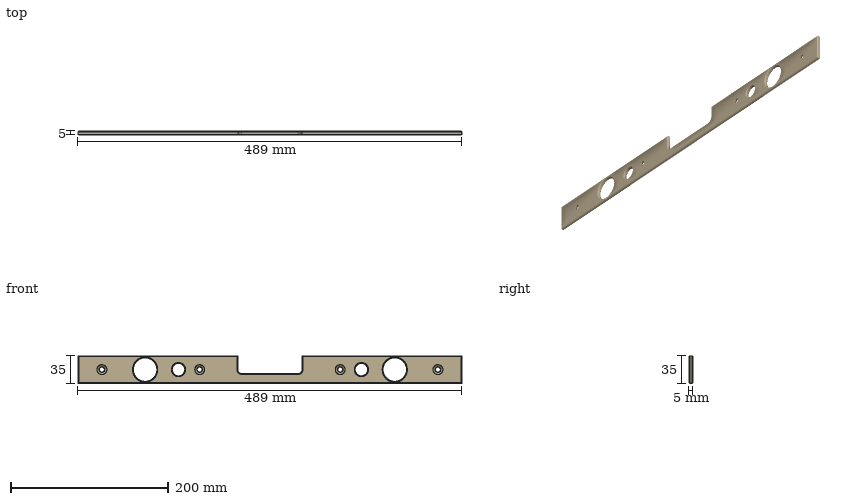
import cadquery as cq

LENGTH = 489.0
THICKNESS = 5.0
HEIGHT = 35.0

NOTCH_WIDTH = 82.0
NOTCH_CORNER_RADIUS = 5.0
WEB_HEIGHT = 12.5

EDGE_CHAMFER = 1.0

LARGE_HOLE_DIAMETER = 30.0
LARGE_HOLE_OFFSET = 159.0
MEDIUM_HOLE_DIAMETER = 16.0
MEDIUM_HOLE_OFFSET = 116.5

SCREW_HOLE_DIAMETER = 6.4
COUNTERSINK_DIAMETER = 12.6
COUNTERSINK_ANGLE = 90.0
INNER_SCREW_OFFSET = 89.5
SCREW_PITCH = 124.5
OUTER_SCREW_OFFSET = INNER_SCREW_OFFSET + SCREW_PITCH


def mirrored(*offsets):
    """Points on the mid-height line at plus and minus each offset."""
    return [(side * offset, 0) for offset in offsets for side in (-1, 1)]


def notched_bar():
    bar = cq.Workplane("XY").box(LENGTH, THICKNESS, HEIGHT)
    notch_depth = HEIGHT - WEB_HEIGHT
    notch = (
        cq.Workplane("XY")
        .box(NOTCH_WIDTH, THICKNESS, notch_depth)
        .edges("|Y and <Z")
        .fillet(NOTCH_CORNER_RADIUS)
        .translate((0, 0, (HEIGHT - notch_depth) / 2))
    )
    return bar.cut(notch)


def front_face(bar):
    return bar.faces("<Y").workplane(origin=(0, -THICKNESS / 2, 0))


def drill_plain_holes(bar):
    bar = front_face(bar).pushPoints(mirrored(LARGE_HOLE_OFFSET)).hole(LARGE_HOLE_DIAMETER)
    return front_face(bar).pushPoints(mirrored(MEDIUM_HOLE_OFFSET)).hole(MEDIUM_HOLE_DIAMETER)


def drill_screw_holes(bar):
    return (
        front_face(bar)
        .pushPoints(mirrored(INNER_SCREW_OFFSET, OUTER_SCREW_OFFSET))
        .cskHole(SCREW_HOLE_DIAMETER, COUNTERSINK_DIAMETER, COUNTERSINK_ANGLE)
    )


def chamfer_front_and_back(bar):
    return bar.faces("<Y or >Y").edges().chamfer(EDGE_CHAMFER)


drilled_bar = drill_plain_holes(notched_bar())
result = drill_screw_holes(chamfer_front_and_back(drilled_bar))